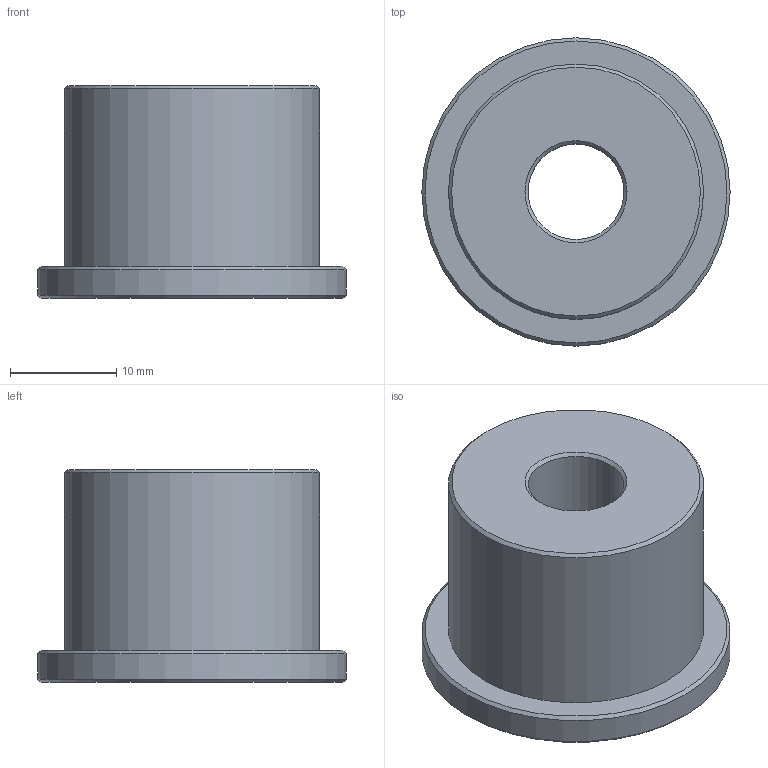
import cadquery as cq

flange_diameter = 29.0
flange_thickness = 3.0
body_diameter = 24.0
bore_diameter = 9.0
total_height = 20.0
edge_chamfer = 0.3


def chamfered_disc(diameter, height):
    """Disc standing on Z = 0 with both rims chamfered."""
    disc = cq.Workplane("XY").circle(diameter / 2).extrude(height)
    return disc.faces("<Z or >Z").edges().chamfer(edge_chamfer)


def sleeve_body():
    """Cylindrical body rising from Z = 0, chamfered at its top rim."""
    body = cq.Workplane("XY").circle(body_diameter / 2).extrude(total_height)
    return body.faces(">Z").edges().chamfer(edge_chamfer)


def bore_cutter():
    """Through bore that widens into a chamfer at each end."""
    bore_radius = bore_diameter / 2
    mouth_radius = bore_radius + edge_chamfer
    half_profile = (
        cq.Workplane("XZ")
        .moveTo(0, 0)
        .lineTo(mouth_radius, 0)
        .lineTo(bore_radius, edge_chamfer)
        .lineTo(bore_radius, total_height - edge_chamfer)
        .lineTo(mouth_radius, total_height)
        .lineTo(0, total_height)
        .close()
    )
    return half_profile.revolve(360, (0, 0, 0), (0, 1, 0))


flange = chamfered_disc(flange_diameter, flange_thickness)
result = flange.union(sleeve_body()).cut(bore_cutter())